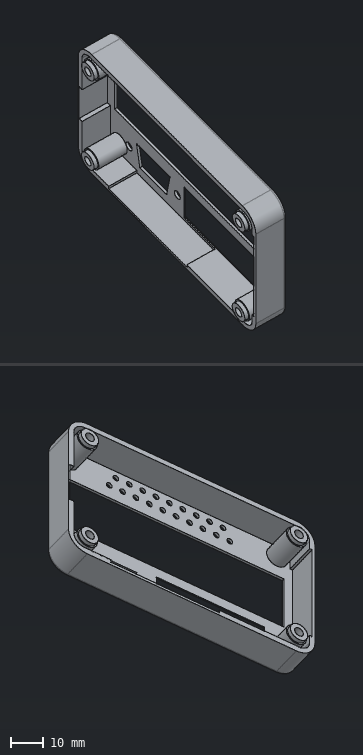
import cadquery as cq

length = 92.0
height = 56.0
total_depth = 13.4
boss_projection = 1.5
shell_depth = total_depth - boss_projection
corner_radius = 7.0
back_fillet = 1.0

side_wall = 2.0
long_wall = 2.2
inner_radius = 4.0
floor = 1.0

left_recess_wall = 0.5
left_recess_span = (-7.9, 7.0)
right_recess_wall = 1.1
right_recess_span = (-18.7, 18.7)
bottom_recess_wall = 1.1
bottom_recess_span = (-30.2, 10.3)

display_x = (-41.8, 41.7)
display_z = (-7.45, 13.2)
port_x = (-5.8, 34.4)
port_top = -11.5
port_bevel = 0.55
port_bevel_angle = 45

connector_x = -21.8
connector_z = (-23.2, -13.5)
connector_top_width = 17.2
connector_bottom_width = 13.8
connector_hole_pitch = 25.0
connector_hole_z = -18.3
connector_hole_diameter = 3.0

vent_diameter = 2.0
vent_center_x = -1.0
vent_lower_count = 10
vent_lower_length = 45.0
vent_pitch = vent_lower_length / (vent_lower_count - 1)
vent_lower_z = 18.6
vent_upper_z = 23.0

boss_diameter = 7.5
boss_tip_diameter = 6.5
boss_tip_length = 1.5
boss_hole_diameter = 3.2
boss_x = length / 2 - corner_radius
boss_z = height / 2 - corner_radius
boss_points = [(x, z) for x in (-boss_x, boss_x) for z in (-boss_z, boss_z)]


def plane(depth):
    """Sketch plane parallel to XZ, at a distance from the back face toward -Y."""
    return cq.Workplane("XZ", origin=(0, -depth, 0))


def block(x_span, z_span, start, end):
    """Box covering the X and Z spans between two depths from the back face."""
    x_size = x_span[1] - x_span[0]
    z_size = z_span[1] - z_span[0]
    center = (x_span[0] + x_size / 2, z_span[0] + z_size / 2)
    return plane(start).center(*center).rect(x_size, z_size).extrude(end - start)


def holes(points, diameter, depth):
    """Round cutters running from the back face to the given depth."""
    return plane(0).pushPoints(points).circle(diameter / 2).extrude(depth)


def vent_row(count, z):
    """Evenly pitched hole centres along X at height z."""
    first_x = vent_center_x - vent_pitch * (count - 1) / 2
    return [(first_x + i * vent_pitch, z) for i in range(count)]


inner_x = length / 2 - side_wall
inner_z = height / 2 - long_wall
outer = plane(0).rect(length, height).extrude(shell_depth).edges("|Y").fillet(corner_radius)
outer = outer.faces(">Y").edges().fillet(back_fillet)
cavity = block((-inner_x, inner_x), (-inner_z, inner_z), floor, shell_depth)
shell = outer.cut(cavity.edges("|Y").fillet(inner_radius))

left_recess_x = (left_recess_wall - length / 2, -inner_x)
right_recess_x = (inner_x, length / 2 - right_recess_wall)
bottom_recess_z = (bottom_recess_wall - height / 2, -inner_z)
shell = shell.cut(block(left_recess_x, left_recess_span, floor, shell_depth))
shell = shell.cut(block(right_recess_x, right_recess_span, floor, shell_depth))
shell = shell.cut(block(bottom_recess_span, bottom_recess_z, floor, shell_depth))

shell = shell.cut(block(display_x, display_z, 0, floor))
port_z = (-inner_z, port_top)
shell = shell.cut(block(port_x, port_z, 0, floor))
port_center = (sum(port_x) / 2, sum(port_z) / 2)
port_width = port_x[1] - port_x[0]
port_height = port_z[1] - port_z[0]
port_flare = plane(0).center(*port_center).rect(port_width + 2 * port_bevel, port_height + 2 * port_bevel)
shell = shell.cut(port_flare.extrude(port_bevel, taper=port_bevel_angle))

connector = plane(0).polyline([
    (connector_x - connector_top_width / 2, connector_z[1]),
    (connector_x + connector_top_width / 2, connector_z[1]),
    (connector_x + connector_bottom_width / 2, connector_z[0]),
    (connector_x - connector_bottom_width / 2, connector_z[0]),
]).close().extrude(floor)
connector_hole_points = [
    (connector_x + side * connector_hole_pitch / 2, connector_hole_z) for side in (-1, 1)
]
shell = shell.cut(connector)
shell = shell.cut(holes(connector_hole_points, connector_hole_diameter, floor))

vent_points = vent_row(vent_lower_count, vent_lower_z) + vent_row(vent_lower_count - 1, vent_upper_z)
shell = shell.cut(holes(vent_points, vent_diameter, floor))

shoulder_depth = total_depth - boss_tip_length
boss_bodies = plane(floor).pushPoints(boss_points).circle(boss_diameter / 2)
boss_bodies = boss_bodies.extrude(shoulder_depth - floor)
boss_tips = plane(shoulder_depth).pushPoints(boss_points).circle(boss_tip_diameter / 2)
boss_tips = boss_tips.extrude(boss_tip_length)
result = shell.union(boss_bodies).union(boss_tips)
result = result.cut(holes(boss_points, boss_hole_diameter, total_depth))